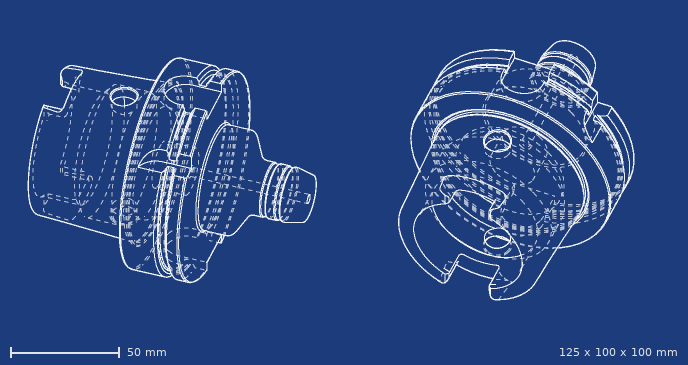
import cadquery as cq
import math

total_length = 125.0

taper_end_x = 48.0
taper_end_radius = 37.69
taper_radius_slope = 1 / 20
taper_front_radius = taper_end_radius - taper_end_x * taper_radius_slope
taper_front_round = 2.0
relief_radius = 37.4
relief_start_x = 48.9

flange_start_x = 50.0
flange_end_x = 79.0
flange_radius = 50.0
flange_chamfer_length = 0.8
flange_chamfer_height = 0.4
face_recess_depth = 0.5
face_recess_inner_radius = 38.6
face_recess_outer_radius = 39.4

groove_mouth_start_x = 66.9
groove_mouth_end_x = 73.1
groove_floor_start_x = 68.0
groove_floor_end_x = 71.6
groove_floor_radius = 46.1
groove_bevel_angle = math.radians(30)
groove_corner_round = 0.6

boss_radius = 25.0
boss_root_bevel = 0.9
boss_edge_x = 92.0
boss_edge_round = 2.0
shoulder_angle = math.radians(60)
neck_radius = 13.0
neck_start_x = boss_edge_x + (boss_radius - neck_radius) / math.tan(shoulder_angle)
neck_root_round = 4.6
nose_taper_x = 116.8
nose_end_radius = 11.19
nose_end_round = 0.8
seal_groove_start_x = 105.5
seal_groove_pitch = 7.0
seal_groove_count = 2
seal_groove_width = 3.0
seal_groove_depth = 0.5

bore_radius = 26.5
bore_front_chamfer_length = 2.0
bore_front_chamfer_height = 0.6
bore_lip_x = 20.0
cavity_radius = 31.5
cavity_lip_angle = math.radians(50)
cavity_wall_end_x = 40.0
cavity_end_angle = math.radians(30)
cavity_floor_x = 52.5
cavity_floor_round = 1.5
thread_hole_radius = 11.19
thread_hole_depth = 15.0
coolant_hole_radius = 2.1
coolant_countersink_radius = 3.0

slot_half_width = 10.0
slot_flare_radius = 5.0
slot_flare_top_z = 32.1
slot_inner_z = 18.8
slot_outer_z = 43.8
slot_outer_half_width = 25.0
upper_slot_depth = 10.0
lower_slot_depth = 14.8
slot_floor_round = 1.9
slot_edge_chamfer = 1.4

cross_hole_x = 35.0
cross_hole_radius = 6.0
cross_hole_chamfer = 0.5

notch_start_x = 55.0
notch_radius = 10.0
notch_floor_z = 44.0
side_notch_floor_z = 31.5
side_notch_wall_y = -31.5


def revolve_profile(points):
    """Turn a closed outline of (x, radius) points about the X axis."""
    return cq.Workplane("XY").polyline(points).close().revolve(360, (0, 0, 0), (1, 0, 0))


def round_ring(body, x, radius):
    """Round the circular edges whose centre lies on the axis at x."""
    tolerance = 0.06
    selector = cq.selectors.BoxSelector(
        (x - tolerance, -tolerance, -tolerance), (x + tolerance, tolerance, tolerance)
    )
    return body.edges(selector).fillet(radius)


def make_body():
    chamfered_radius = flange_radius - flange_chamfer_height
    body = revolve_profile([
        (0, 0),
        (0, taper_front_radius),
        (taper_end_x, taper_end_radius),
        (relief_start_x, relief_radius),
        (flange_start_x + face_recess_depth, relief_radius),
        (flange_start_x + face_recess_depth, face_recess_inner_radius),
        (flange_start_x, face_recess_outer_radius),
        (flange_start_x, chamfered_radius),
        (flange_start_x + flange_chamfer_length, flange_radius),
        (flange_end_x - flange_chamfer_length, flange_radius),
        (flange_end_x, chamfered_radius),
        (flange_end_x, boss_radius + boss_root_bevel),
        (flange_end_x + boss_root_bevel, boss_radius),
        (boss_edge_x, boss_radius),
        (neck_start_x, neck_radius),
        (nose_taper_x, neck_radius),
        (total_length, nose_end_radius),
        (total_length, 0),
    ])
    body = round_ring(body, 0, taper_front_round)
    body = round_ring(body, boss_edge_x, boss_edge_round)
    body = round_ring(body, neck_start_x, neck_root_round)
    body = round_ring(body, total_length, nose_end_round)
    return body


def make_gripper_groove():
    start_bevel_drop = (groove_floor_start_x - groove_mouth_start_x) / math.tan(groove_bevel_angle)
    end_bevel_drop = (groove_mouth_end_x - groove_floor_end_x) / math.tan(groove_bevel_angle)
    outside_radius = flange_radius + 1.2
    groove = revolve_profile([
        (groove_floor_start_x, groove_floor_radius),
        (groove_floor_start_x, flange_radius - start_bevel_drop),
        (groove_mouth_start_x, flange_radius),
        (groove_mouth_start_x, outside_radius),
        (groove_mouth_end_x, outside_radius),
        (groove_mouth_end_x, flange_radius),
        (groove_floor_end_x, flange_radius - end_bevel_drop),
        (groove_floor_end_x, groove_floor_radius),
    ])
    floor_edges = cq.selectors.RadiusNthSelector(0)
    return groove.edges(floor_edges).fillet(groove_corner_round)


def make_seal_groove(start_x):
    end_x = start_x + seal_groove_width
    floor_radius = neck_radius - seal_groove_depth
    return revolve_profile([
        (start_x, neck_radius),
        (start_x + seal_groove_depth, floor_radius),
        (end_x - seal_groove_depth, floor_radius),
        (end_x, neck_radius),
    ])


def make_cavity():
    undercut_depth = cavity_radius - bore_radius
    lip_length = undercut_depth / math.tan(cavity_lip_angle)
    end_length = undercut_depth / math.tan(cavity_end_angle)
    thread_end_x = cavity_floor_x + thread_hole_depth
    countersink_depth = coolant_countersink_radius - coolant_hole_radius
    cavity = revolve_profile([
        (0, 0),
        (0, bore_radius + bore_front_chamfer_height),
        (bore_front_chamfer_length, bore_radius),
        (bore_lip_x, bore_radius),
        (bore_lip_x + lip_length, cavity_radius),
        (cavity_wall_end_x, cavity_radius),
        (cavity_wall_end_x + end_length, bore_radius),
        (cavity_floor_x, bore_radius),
        (cavity_floor_x, 0),
    ])
    cavity = round_ring(cavity, cavity_floor_x, cavity_floor_round)
    passage = revolve_profile([
        (cavity_floor_x, 0),
        (cavity_floor_x, thread_hole_radius),
        (thread_end_x, thread_hole_radius),
        (thread_end_x, coolant_countersink_radius),
        (thread_end_x + countersink_depth, coolant_hole_radius),
        (total_length, coolant_hole_radius),
        (total_length, 0),
    ])
    return cavity.union(passage)


def make_drive_slot(depth):
    """Slot on the +Z side, open to the front, with flanks flaring outward near the taper surface."""
    flare_start_z = slot_flare_top_z - slot_flare_radius
    flare_centre_y = slot_half_width + slot_flare_radius
    flare_mid_y = flare_centre_y - slot_flare_radius * math.cos(math.pi / 4)
    flare_mid_z = flare_start_z + slot_flare_radius * math.sin(math.pi / 4)
    slot = (
        cq.Workplane("YZ")
        .moveTo(-slot_half_width, slot_inner_z)
        .lineTo(slot_half_width, slot_inner_z)
        .lineTo(slot_half_width, flare_start_z)
        .threePointArc((flare_mid_y, flare_mid_z), (flare_centre_y, slot_flare_top_z))
        .lineTo(slot_outer_half_width, slot_flare_top_z)
        .lineTo(slot_outer_half_width, slot_outer_z)
        .lineTo(-slot_outer_half_width, slot_outer_z)
        .lineTo(-slot_outer_half_width, slot_flare_top_z)
        .lineTo(-flare_centre_y, slot_flare_top_z)
        .threePointArc((-flare_mid_y, flare_mid_z), (-slot_half_width, flare_start_z))
        .close()
        .extrude(depth)
    )
    slot = slot.faces(">X").edges().fillet(slot_floor_round)
    chamfer = (
        cq.Workplane("XY", origin=(0, 0, slot_inner_z))
        .polyline([
            (0, -slot_half_width - slot_edge_chamfer),
            (0, slot_half_width + slot_edge_chamfer),
            (slot_edge_chamfer, slot_half_width),
            (slot_edge_chamfer, -slot_half_width),
        ])
        .close()
        .extrude(slot_outer_z - slot_inner_z)
    )
    return slot.union(chamfer)


def cut_cross_hole(body):
    """Drill a radial hole along Z through both walls and chamfer it where it leaves the taper."""
    surface_z = taper_front_radius + cross_hole_x * taper_radius_slope
    hole = (
        cq.Workplane("XY", origin=(cross_hole_x, 0, 0))
        .circle(cross_hole_radius)
        .extrude(flange_radius, both=True)
    )
    body = body.cut(hole)
    reach = 1.2
    for z in (surface_z, -surface_z):
        mouth = cq.selectors.BoxSelector(
            (cross_hole_x - reach, -reach, z - reach), (cross_hole_x + reach, reach, z + reach)
        )
        body = body.edges(mouth).chamfer(cross_hole_chamfer)
    return body


def make_notch(centre_y, floor_z):
    """Round-ended notch cut down to floor_z and open through the rear of the flange."""
    height = flange_radius + 1.2 - floor_z
    centre_x = notch_start_x + notch_radius
    length = flange_end_x - centre_x
    plane = cq.Workplane("XY", origin=(centre_x, centre_y, floor_z))
    straight = plane.rect(length, 2 * notch_radius).extrude(height).translate((length / 2, 0, 0))
    return plane.circle(notch_radius).extrude(height).union(straight)


def half_turn(tool):
    """Carry a tool from the +Z side to the -Z side."""
    return tool.rotate((0, 0, 0), (1, 0, 0), 180)


result = make_body().cut(make_gripper_groove())
for index in range(seal_groove_count):
    result = result.cut(make_seal_groove(seal_groove_start_x + index * seal_groove_pitch))
result = cut_cross_hole(result.cut(make_cavity()))
result = result.cut(make_drive_slot(upper_slot_depth))
result = result.cut(half_turn(make_drive_slot(lower_slot_depth)))

top_notch = make_notch(0, notch_floor_z)
side_notch = make_notch(side_notch_wall_y - notch_radius, side_notch_floor_z)
result = result.cut(top_notch).cut(half_turn(top_notch)).cut(side_notch)